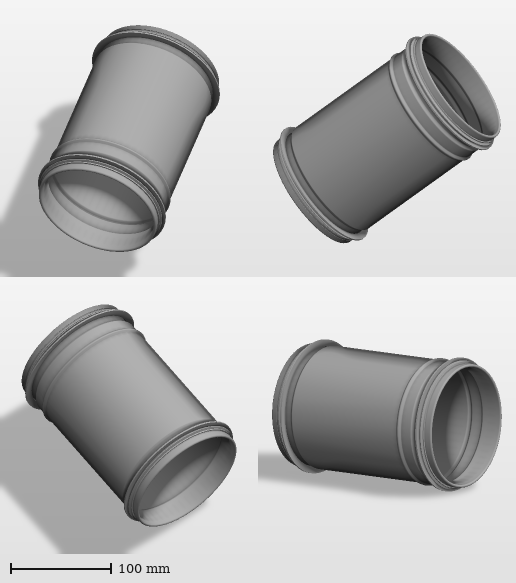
import cadquery as cq
import math

LENGTH = 194.0
WALL = 0.5
BODY_R = 124.05 / 2
SPIGOT_R = 119.25 / 2
END_Y = LENGTH / 2

FLANK_ANGLE = math.radians(40)
INNER_BEND_R = 1.0
OUTER_BEND_R = INNER_BEND_R + WALL

SHOULDER_INSET = 21.8

BEAD_INSET = 39.1
BEAD_R = 128.0 / 2

HEM_LENGTH = 6.0
HEM_INSIDE_R = BODY_R - WALL
HEM_ROLL = (BODY_R - SPIGOT_R + WALL) / 2

GASKET_R = HEM_INSIDE_R
TUCKED_EDGE_R = 120.45 / 2
GASKET_MOUTH_R = 120.45 / 2
RIDGE_R = 125.8 / 2
LIP_R = 129.45 / 2
FLANGE_R = 134.45 / 2
GASKET_INSET = 3.7
RIDGE_INSET = 8.1
RIDGE_WIDTH = 1.2
LIP_INSET = 9.5
LIP_SLOPE = 1.2
LIP_TIP = 0.7
FLANGE_INSET = 14.0
FLANGE_WIDTH = 1.5


def rounded_path(profile, corners):
    """Continue a profile along (radius, y, bend radius) corners, rounding each bend."""
    x, y = corners[-1][:2]
    for i in range(1, len(corners) - 1):
        cx, cy, bend = corners[i]
        incoming = cq.Vector(cx - corners[i - 1][0], cy - corners[i - 1][1]).normalized()
        outgoing = cq.Vector(corners[i + 1][0] - cx, corners[i + 1][1] - cy).normalized()
        turn = incoming.getAngle(outgoing)
        setback = bend * math.tan(turn / 2)
        sag = bend * (1 / math.cos(turn / 2) - 1)
        corner = cq.Vector(cx, cy)
        start = corner - incoming * setback
        end = corner + outgoing * setback
        middle = corner + (outgoing - incoming).normalized() * sag
        profile = profile.lineTo(start.x, start.y)
        profile = profile.threePointArc((middle.x, middle.y), (end.x, end.y))
    return profile.lineTo(x, y)


def sheet_corners(depth, straight_end):
    """Corners of one sheet face, from -Y to +Y, at a depth below the outside face."""
    spigot = SPIGOT_R - depth
    body = BODY_R - depth
    hollow_bend = INNER_BEND_R + depth
    crest_bend = OUTER_BEND_R - depth

    shoulder_length = (BODY_R - SPIGOT_R) / math.tan(FLANK_ANGLE)
    foot = END_Y - SHOULDER_INSET - depth * math.tan(FLANK_ANGLE / 2)
    top = foot - shoulder_length

    apex = BEAD_R - depth + crest_bend * (1 / math.cos(FLANK_ANGLE) - 1)
    bead_y = BEAD_INSET - END_Y
    half_bead = (apex - body) / math.tan(FLANK_ANGLE)
    return [
        (spigot, -straight_end, 0),
        (spigot, -foot, hollow_bend),
        (body, -top, crest_bend),
        (body, bead_y - half_bead, hollow_bend),
        (apex, bead_y, crest_bend),
        (body, bead_y + half_bead, hollow_bend),
        (body, top, crest_bend),
        (spigot, foot, hollow_bend),
        (spigot, straight_end, 0),
    ]


def revolve_about_y(profile):
    return profile.close().revolve(360, (0, 0, 0), (0, 1, 0))


def make_sleeve():
    bore_r = SPIGOT_R - WALL
    roll_r = bore_r + HEM_ROLL
    roll_y = END_Y - HEM_ROLL
    hem_end_y = END_Y - HEM_LENGTH

    profile = (
        cq.Workplane("XY")
        .moveTo(BODY_R, -hem_end_y)
        .lineTo(BODY_R, -roll_y)
        .threePointArc((roll_r, -END_Y), (bore_r, -roll_y))
    )
    profile = rounded_path(profile, sheet_corners(WALL, roll_y))
    profile = (
        profile.threePointArc((roll_r, END_Y), (BODY_R, roll_y))
        .lineTo(BODY_R, hem_end_y)
        .lineTo(HEM_INSIDE_R, hem_end_y)
        .lineTo(HEM_INSIDE_R, roll_y)
        .threePointArc((roll_r, END_Y - WALL), (SPIGOT_R, roll_y))
    )
    profile = rounded_path(profile, sheet_corners(0, roll_y)[::-1])
    profile = profile.threePointArc((roll_r, WALL - END_Y), (HEM_INSIDE_R, -roll_y))
    profile = profile.lineTo(HEM_INSIDE_R, -hem_end_y)
    return revolve_about_y(profile)


def make_gasket(end):
    """Gasket at one end of the sleeve; end is -1 or +1 along Y."""

    def place(radius, inset):
        return (radius, end * (END_Y - inset))

    ridge_end = RIDGE_INSET + RIDGE_WIDTH
    tip_start = LIP_INSET + LIP_SLOPE
    tip_end = tip_start + LIP_TIP
    flange_end = FLANGE_INSET + FLANGE_WIDTH

    profile = (
        cq.Workplane("XY")
        .moveTo(*place(SPIGOT_R, GASKET_INSET))
        .lineTo(*place(TUCKED_EDGE_R, GASKET_INSET))
        .lineTo(*place(TUCKED_EDGE_R, HEM_LENGTH))
        .lineTo(*place(GASKET_R, HEM_LENGTH))
        .lineTo(*place(GASKET_R, RIDGE_INSET))
        .lineTo(*place(RIDGE_R, RIDGE_INSET))
        .lineTo(*place(RIDGE_R, ridge_end))
        .lineTo(*place(GASKET_R, ridge_end))
        .lineTo(*place(GASKET_R, LIP_INSET))
        .lineTo(*place(LIP_R, tip_start))
        .lineTo(*place(LIP_R, tip_end))
        .lineTo(*place(GASKET_R, tip_end))
        .lineTo(*place(GASKET_R, FLANGE_INSET))
        .lineTo(*place(FLANGE_R, FLANGE_INSET))
        .lineTo(*place(FLANGE_R, flange_end))
        .lineTo(*place(GASKET_MOUTH_R, flange_end))
    )
    return revolve_about_y(profile)


sleeve = make_sleeve()
gaskets = [make_gasket(end) for end in (-1, 1)]

result = cq.Compound.makeCompound([sleeve.val(), *[gasket.val() for gasket in gaskets]])